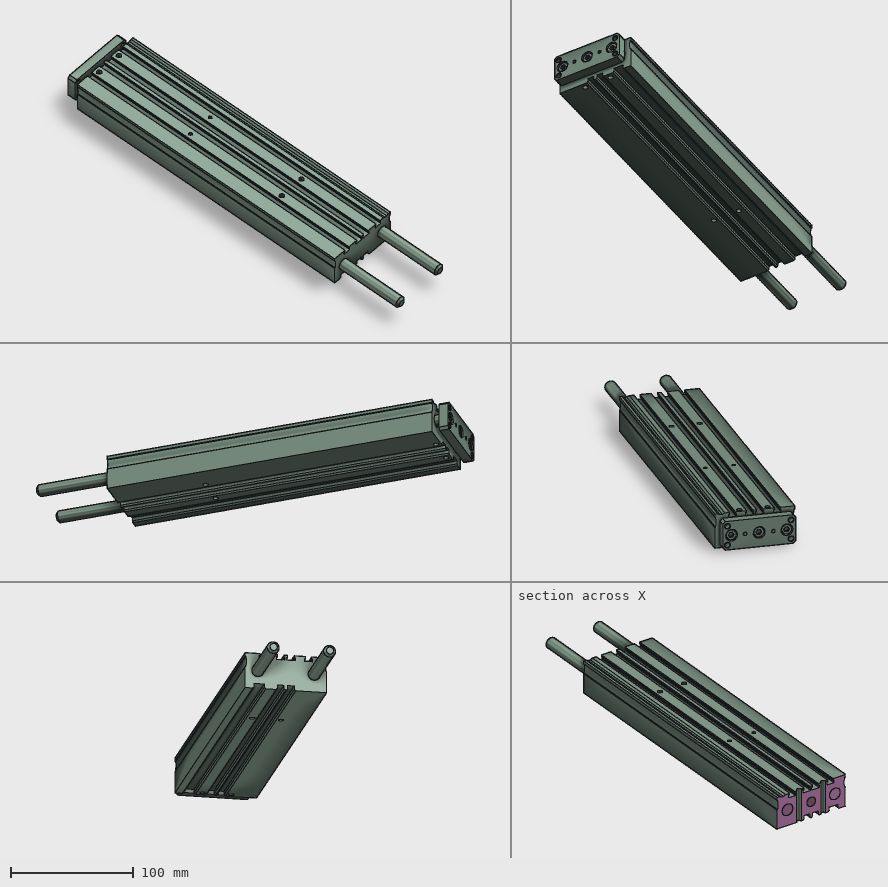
import cadquery as cq

plate_thickness = 8.0
plate_gap = 5.0
housing_length = 282.0
guide_rod_end = 359.0
housing_start = plate_thickness + plate_gap

housing_width = 68.0
housing_height = 30.0
half_width = housing_width / 2
half_height = housing_height / 2

slot_depth = 4.0
slot_lip = 1.8
slot_undercut = 0.8
centre_rib_half = 1.5
inner_slot = (centre_rib_half, 7.0)
outer_slot = (16.5, 21.5)
wide_bottom_slot = (-26.5, -18.0)
bottom_slot_chamfer = 1.2

top_groove_centre = 28.6
top_groove_width = 6.2
top_groove_floor = 2.1
top_groove_depth = 1.1

side_groove_centre = 7.6
side_groove_width = 9.2
side_groove_floor = 3.2
side_groove_bevel = 0.5
side_groove_depth = 1.1

mount_hole_y = 12.0
mount_hole_diameter = 4.3
mount_hole_inset = 4.3
mount_hole_pitch = 100.0
dowel_hole_diameter = 3.0
dowel_hole_depth = 6.0

plate_width = 62.0
plate_height = 25.0
plate_chamfer = 2.2
corner_hole_y = 27.0
corner_hole_z = 8.2
corner_hole_diameter = 4.2
corner_hole_chamfer = 0.4
small_hole_y = 12.0
small_hole_diameter = 3.0

guide_rod_y = 23.5
guide_rod_diameter = 10.0
guide_rod_chamfer = 2.0
piston_rod_diameter = 8.0
piston_rod_insertion = 200.0
counterbore_diameter = 10.0
counterbore_depth = 5.5
head_diameter = 8.5
head_recess = 1.0
shank_diameter = 5.0
socket_across_corners = 4.6
socket_depth = 2.5


def cylinder_x(diameter, start, end, y=0.0, z=0.0):
    """Cylinder along X from start to end."""
    plane = cq.Workplane("YZ", origin=(start, y, z))
    return plane.circle(diameter / 2).extrude(end - start)


def housing_prism(points):
    """Section drawn in Y and Z, run along the whole housing."""
    plane = cq.Workplane("YZ", origin=(housing_start, 0, 0))
    return plane.polyline(points).close().extrude(housing_length)


def top_slot(low, high):
    """T-slot with a thin lip over each side."""
    floor = half_height - slot_depth
    lip = half_height - slot_lip
    return housing_prism([
        (low - slot_undercut, floor),
        (high + slot_undercut, floor),
        (high + slot_undercut, lip),
        (high, lip),
        (high, half_height),
        (low, half_height),
        (low, lip),
        (low - slot_undercut, lip),
    ])


def bottom_slot(low, high):
    """Slot in the bottom with chamfered mouth edges."""
    floor = -half_height + slot_depth
    shoulder = -half_height + bottom_slot_chamfer
    return housing_prism([
        (low, floor),
        (high, floor),
        (high, shoulder),
        (high + bottom_slot_chamfer, -half_height),
        (low - bottom_slot_chamfer, -half_height),
        (low, shoulder),
    ])


def top_groove():
    """Shallow groove with sloping sides and a flat floor."""
    mouth = top_groove_width / 2
    floor = top_groove_floor / 2
    floor_z = half_height - top_groove_depth
    return housing_prism([
        (top_groove_centre - mouth, half_height),
        (top_groove_centre - floor, floor_z),
        (top_groove_centre + floor, floor_z),
        (top_groove_centre + mouth, half_height),
    ])


def side_groove(side):
    """Groove with a bevelled mouth and a gently tapered bed."""
    mouth = side_groove_width / 2
    floor = side_groove_floor / 2
    shoulder = mouth - side_groove_bevel
    shoulder_y = side * (half_width - side_groove_bevel)
    floor_y = side * (half_width - side_groove_depth)
    return housing_prism([
        (side * half_width, side_groove_centre - mouth),
        (shoulder_y, side_groove_centre - shoulder),
        (floor_y, side_groove_centre - floor),
        (floor_y, side_groove_centre + floor),
        (shoulder_y, side_groove_centre + shoulder),
        (side * half_width, side_groove_centre + mouth),
    ])


def mounting_holes():
    """Through hole at each end of the pattern, blind dowel hole midway, in both bars."""
    first_x = housing_start + mount_hole_inset
    top = cq.Workplane("XY", origin=(0, 0, half_height))
    rows = (-mount_hole_y, mount_hole_y)
    dowel_x = first_x + mount_hole_pitch
    last_x = dowel_x + mount_hole_pitch
    through = [(x, y) for x in (first_x, last_x) for y in rows]
    dowel = [(dowel_x, y) for y in rows]
    holes = top.pushPoints(through).circle(mount_hole_diameter / 2).extrude(-housing_height)
    blind = top.pushPoints(dowel).circle(dowel_hole_diameter / 2).extrude(-dowel_hole_depth)
    return holes.union(blind)


def make_housing():
    housing_end = housing_start + housing_length
    body = cq.Workplane("XY", origin=(housing_start, 0, 0))
    body = body.box(housing_length, housing_width, housing_height, centered=(False, True, True))
    for low, high in (inner_slot, outer_slot):
        body = body.cut(top_slot(low, high))
        body = body.cut(top_slot(-high, -low))
    low, high = inner_slot
    body = body.cut(bottom_slot(low, high))
    body = body.cut(bottom_slot(-high, -low))
    body = body.cut(bottom_slot(*wide_bottom_slot))
    body = body.cut(top_groove())
    for side in (-1, 1):
        body = body.cut(side_groove(side))
        body = body.cut(cylinder_x(guide_rod_diameter, housing_start, housing_end, side * guide_rod_y))
    body = body.cut(cylinder_x(piston_rod_diameter, housing_start, housing_start + piston_rod_insertion))
    return body.cut(mounting_holes())


def corner_hole(y, z):
    """Through hole with its mouth chamfered on the outer face."""
    radius = corner_hole_diameter / 2
    mouth = cq.Workplane("YZ", origin=(0, y, z)).circle(radius + corner_hole_chamfer)
    mouth = mouth.workplane(offset=corner_hole_chamfer).circle(radius).loft()
    return cylinder_x(corner_hole_diameter, 0, plate_thickness, y, z).union(mouth)


def make_end_plate():
    plate = cq.Workplane("XY").box(plate_thickness, plate_width, plate_height, centered=(False, True, True))
    plate = plate.edges("|X").chamfer(plate_chamfer)
    for y in (-guide_rod_y, 0, guide_rod_y):
        plate = plate.cut(cylinder_x(shank_diameter, 0, plate_thickness, y))
        plate = plate.cut(cylinder_x(counterbore_diameter, 0, counterbore_depth, y))
    for side in (-1, 1):
        plate = plate.cut(cylinder_x(small_hole_diameter, 0, plate_thickness, side * small_hole_y))
        for z in (-corner_hole_z, corner_hole_z):
            plate = plate.cut(corner_hole(side * corner_hole_y, z))
    return plate


def socket_head(y):
    """Shank through the plate and a hexagon socket head in its counterbore."""
    head = cylinder_x(head_diameter, head_recess, counterbore_depth, y)
    head = head.union(cylinder_x(shank_diameter, counterbore_depth, plate_thickness, y))
    socket = cq.Workplane("YZ", origin=(head_recess, y, 0))
    socket = socket.polygon(6, socket_across_corners).extrude(socket_depth)
    return head.cut(socket)


def make_guide_rod(y):
    rod = cylinder_x(guide_rod_diameter, plate_thickness, guide_rod_end, y)
    rod = rod.faces(">X").chamfer(guide_rod_chamfer)
    return rod.union(socket_head(y))


def make_piston_rod():
    rod = cylinder_x(piston_rod_diameter, plate_thickness, housing_start + piston_rod_insertion)
    return rod.union(socket_head(0))


housing = make_housing()
end_plate = make_end_plate()
piston_rod = make_piston_rod()
guide_rods = [make_guide_rod(y) for y in (-guide_rod_y, guide_rod_y)]

result = cq.Compound.makeCompound([
    housing.val(),
    end_plate.val(),
    piston_rod.val(),
    *[rod.val() for rod in guide_rods],
])